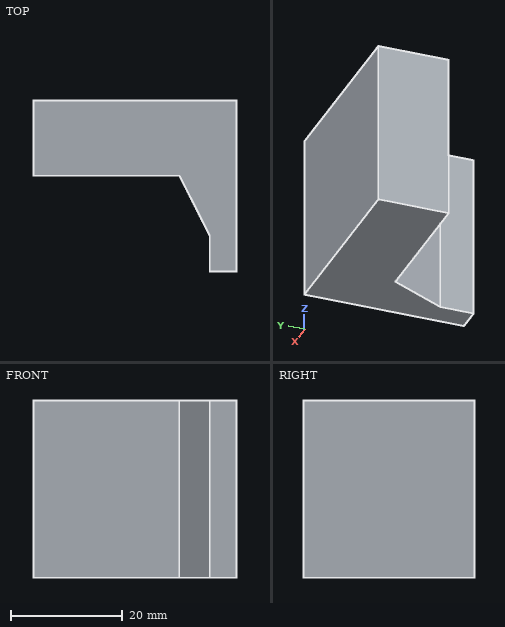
import cadquery as cq

length = 36.6
depth = 30.85
height = 31.96

block_depth = 13.58
block_length = 26.3
lip_width = 4.85
lip_straight = 6.45

block_front_y = depth - block_depth
lip_inner_x = length - lip_width

profile = [
    (0, block_front_y),
    (block_length, block_front_y),
    (lip_inner_x, lip_straight),
    (lip_inner_x, 0),
    (length, 0),
    (length, depth),
    (0, depth),
]

result = cq.Workplane("XY").polyline(profile).close().extrude(height)